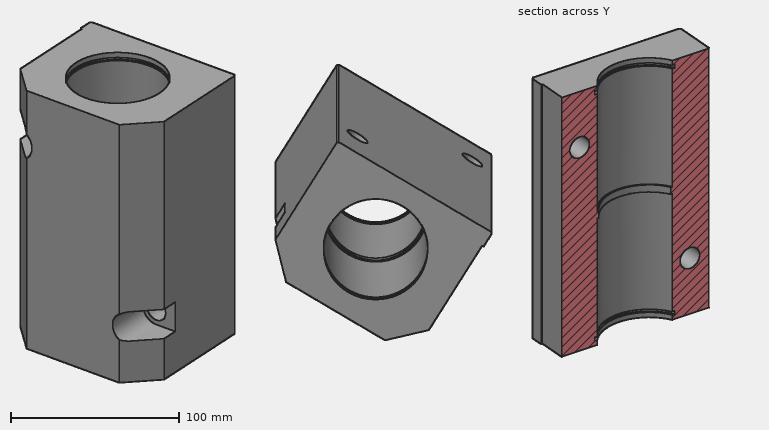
import cadquery as cq

WIDTH = 108.0
DEPTH = 90.0
HEIGHT = 176.0
FRONT_CHAMFER = 19.0
REAR_CHAMFER = 1.0
LEDGE_STEP = 1.0
LEDGE_DEPTH = 10.0

LAND_DIAMETER = 60.0
SEAT_DIAMETER = 62.0
SEAT_LENGTH = 80.0
GROOVE_DIAMETER = 65.0
GROOVE_WIDTH = 2.15
GROOVE_SETBACK = 3.45

BOLT_DIAMETER = 13.84
BOLT_OFFSET_X = 40.0
BOLT_END_DISTANCE = 38.0
POCKET_WIDTH = 20.0
POCKET_DEPTH = 30.0

REAR_Y = DEPTH / 2
FRONT_Y = -DEPTH / 2
RIGHT_X = WIDTH / 2
LEDGE_X = -WIDTH / 2
LEFT_X = LEDGE_X + LEDGE_STEP
TOP_Z = HEIGHT / 2
BOLT_Z = TOP_Z - BOLT_END_DISTANCE


def make_block():
    """Extruded housing outline with front bevels and the rear left ledge."""
    outline = [
        (LEFT_X + FRONT_CHAMFER, FRONT_Y),
        (RIGHT_X - FRONT_CHAMFER, FRONT_Y),
        (RIGHT_X, FRONT_Y + FRONT_CHAMFER),
        (RIGHT_X, REAR_Y - REAR_CHAMFER),
        (RIGHT_X - REAR_CHAMFER, REAR_Y),
        (LEDGE_X + REAR_CHAMFER, REAR_Y),
        (LEDGE_X, REAR_Y - REAR_CHAMFER),
        (LEDGE_X, REAR_Y - LEDGE_DEPTH),
        (LEFT_X, REAR_Y - LEDGE_DEPTH),
        (LEFT_X, FRONT_Y + FRONT_CHAMFER),
    ]
    return cq.Workplane("XY").workplane(offset=-TOP_Z).polyline(outline).close().extrude(HEIGHT)


def disc(diameter, bottom_z, height):
    """Cylinder on the bore axis."""
    return cq.Workplane("XY").workplane(offset=bottom_z).circle(diameter / 2).extrude(height)


def make_bearing_seat():
    """Seat at the top end of the bore, with a retaining ring groove near its mouth."""
    groove_floor_z = TOP_Z - GROOVE_SETBACK - GROOVE_WIDTH
    seat_floor_z = groove_floor_z - SEAT_LENGTH
    seat = disc(SEAT_DIAMETER, seat_floor_z, TOP_Z - seat_floor_z)
    groove = disc(GROOVE_DIAMETER, groove_floor_z, GROOVE_WIDTH)
    return seat.union(groove)


def make_bore():
    """Through bore with the same bearing seat at the top and bottom ends."""
    seat = make_bearing_seat()
    return disc(LAND_DIAMETER, -TOP_Z, HEIGHT).union(seat).union(seat.mirror("XY"))


def make_bolt_cut(side, z):
    """Bolt hole along Y and its round-nosed pocket; side is -1 for left, +1 for right."""
    x = side * BOLT_OFFSET_X
    hole = cq.Workplane("XZ").center(x, z).circle(BOLT_DIAMETER / 2).extrude(REAR_Y, both=True)
    run_out_length = RIGHT_X - BOLT_OFFSET_X
    run_out_x = x + side * run_out_length / 2
    front = cq.Workplane("XZ", origin=(0, FRONT_Y + POCKET_DEPTH, 0))
    nose = front.center(x, z).circle(POCKET_WIDTH / 2).extrude(POCKET_DEPTH)
    run_out = front.center(run_out_x, z).rect(run_out_length, POCKET_WIDTH).extrude(POCKET_DEPTH)
    return hole.union(nose).union(run_out)


result = make_block().cut(make_bore())
for side, z in ((-1, BOLT_Z), (1, -BOLT_Z)):
    result = result.cut(make_bolt_cut(side, z))